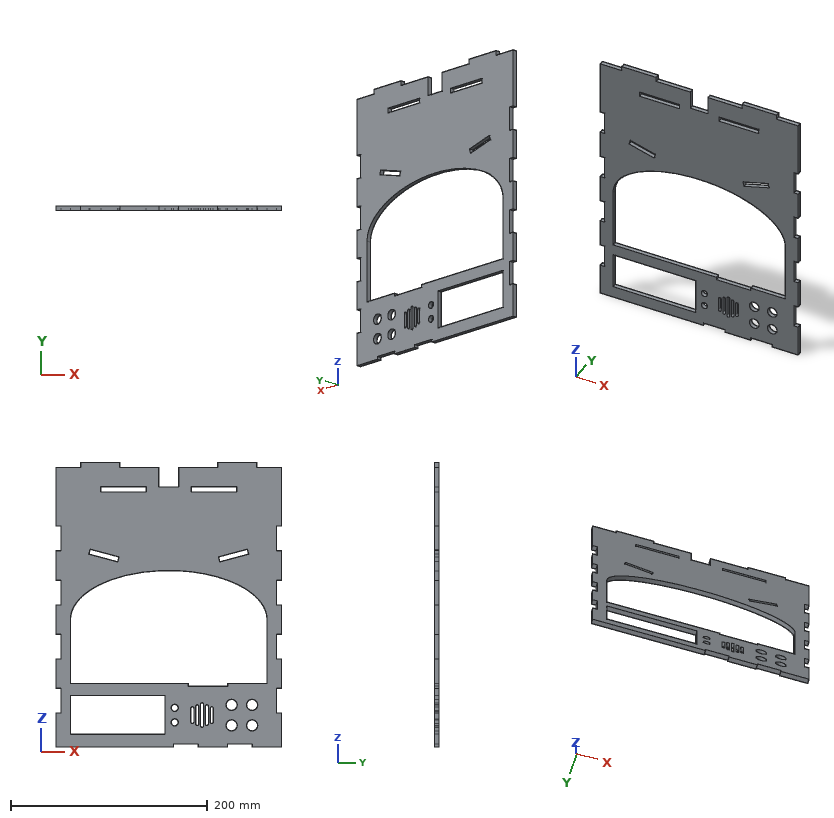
import cadquery as cq

width = 230.0
height = 290.0
thickness = 5.0
joint_depth = 5.0
body_height = height - joint_depth

top_tab_width = 40.0
top_tab_offset = 70.0
top_notch_width = 20.3
top_notch_depth = 20.0

side_notch_height = 25.0
side_notch_start = 34.8
side_notch_pitch = 55.0
side_notch_count = 4

bottom_notch_width = 25.0
bottom_notch_depth = 3.0
bottom_notch_centers = (17.5, 72.5)

level_slot_length = 46.0
level_slot_offset = 46.0
level_slot_top = body_height - top_notch_depth
tilted_slot_length = 30.2
tilted_slot_offset = 66.0
tilted_slot_z = 195.2
tilted_slot_angle = 15.0

window_half_width = 100.0
window_bottom = 65.0
window_spring = 130.0
window_arch_rise = 50.0
sill_recess_width = 40.0
sill_recess_depth = 3.0
sill_recess_center = 40.0

display_width = 96.0
display_height = 39.5
display_bottom = 13.0

indicator_diameter = 7.0
indicator_x = 6.0
indicator_pitch = 14.8

button_diameter = 11.0
button_center_x = 74.5
button_pitch = 21.0

grille_x = 34.0
grille_bar_width = 3.0
grille_bar_pitch = 5.0
grille_middle_length = 25.0
grille_length_step = 4.0
grille_bars_per_side = 2

controls_z = 32.5


def sheet():
    """Workplane on the back face of the sheet, with local x = X and local y = Z."""
    return cq.Workplane("XZ", origin=(0, thickness / 2, 0))


def block(x, z, size_x, size_z, angle=0):
    """Box through the full thickness, centred on (x, z) and turned within the panel."""
    return (
        sheet()
        .center(x, z)
        .transformed(rotate=(0, 0, angle))
        .rect(size_x, size_z)
        .extrude(thickness)
    )


def holes(points, diameter):
    """Round through holes at the given (x, z) points."""
    return sheet().pushPoints(points).circle(diameter / 2).extrude(thickness)


def panel_blank():
    blank = block(0, body_height / 2, width, body_height)
    for side in (-1, 1):
        tab_z = body_height + joint_depth / 2
        blank = blank.union(block(side * top_tab_offset, tab_z, top_tab_width, joint_depth))
    return blank


def cut_edge_notches(panel):
    panel = panel.cut(block(0, body_height - top_notch_depth / 2, top_notch_width, top_notch_depth))
    for x in bottom_notch_centers:
        panel = panel.cut(block(x, bottom_notch_depth / 2, bottom_notch_width, bottom_notch_depth))
    for side in (-1, 1):
        notch_x = side * (width - joint_depth) / 2
        for i in range(side_notch_count):
            notch_z = side_notch_start + i * side_notch_pitch + side_notch_height / 2
            panel = panel.cut(block(notch_x, notch_z, joint_depth, side_notch_height))
    return panel


def cut_slots(panel):
    level_z = level_slot_top - joint_depth / 2
    for side in (-1, 1):
        level = block(side * level_slot_offset, level_z, level_slot_length, joint_depth)
        tilted = block(
            side * tilted_slot_offset,
            tilted_slot_z,
            tilted_slot_length,
            joint_depth,
            side * tilted_slot_angle,
        )
        panel = panel.cut(level).cut(tilted)
    return panel


def cut_window(panel):
    straight_height = window_spring - window_bottom
    straight = block(0, window_bottom + straight_height / 2, 2 * window_half_width, straight_height)
    arch = (
        sheet()
        .center(0, window_spring)
        .ellipse(window_half_width, window_arch_rise)
        .extrude(thickness)
    )
    recess_z = window_bottom - sill_recess_depth / 2
    recess = block(sill_recess_center, recess_z, sill_recess_width, sill_recess_depth)
    return panel.cut(straight).cut(arch).cut(recess)


def cut_display(panel):
    display_x = -window_half_width + display_width / 2
    display_z = display_bottom + display_height / 2
    return panel.cut(block(display_x, display_z, display_width, display_height))


def cut_controls(panel):
    indicators = [(indicator_x, controls_z + s * indicator_pitch / 2) for s in (-1, 1)]
    buttons = [
        (button_center_x + sx * button_pitch / 2, controls_z + sz * button_pitch / 2)
        for sx in (-1, 1)
        for sz in (-1, 1)
    ]
    return panel.cut(holes(indicators, indicator_diameter)).cut(holes(buttons, button_diameter))


def cut_grille(panel):
    for i in range(-grille_bars_per_side, grille_bars_per_side + 1):
        bar_x = grille_x + i * grille_bar_pitch
        bar_length = grille_middle_length - abs(i) * grille_length_step
        bar = (
            sheet()
            .center(bar_x, controls_z)
            .slot2D(bar_length, grille_bar_width, 90)
            .extrude(thickness)
        )
        panel = panel.cut(bar)
    return panel


result = panel_blank()
result = cut_edge_notches(result)
result = cut_slots(result)
result = cut_window(result)
result = cut_display(result)
result = cut_controls(result)
result = cut_grille(result)